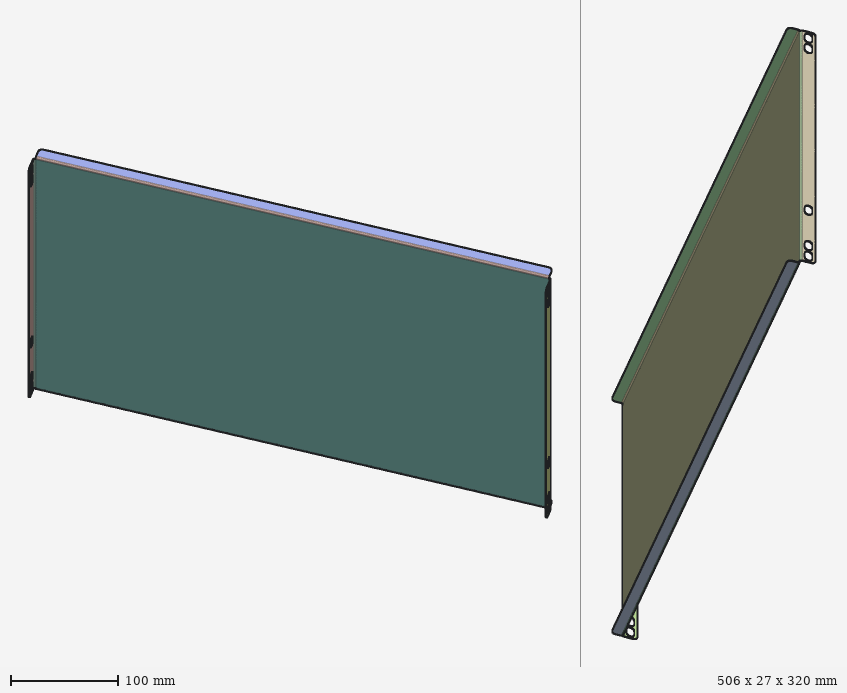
import cadquery as cq

width = 506.0
depth = 27.0
height = 320.0

sheet = 1.0
inner_bend_radius = 1.25
outer_bend_radius = inner_bend_radius + sheet

back_flange_depth = 12.0
side_flange_reach = depth - back_flange_depth
flat_width = width - 2 * outer_bend_radius
flat_height = height - 2 * outer_bend_radius
back_corner_radius = 4.0
side_corner_radius = 4.0

slot_width = 7.5
slot_length = 12.0
slot_edge_distance = 7.0
slot_end_distance = 10.5
slot_pitch = 14.0
extra_slot_height = 73.5
outer_slot_z = height / 2 - slot_end_distance
inner_slot_z = outer_slot_z - slot_pitch
slot_heights = [
    outer_slot_z,
    inner_slot_z,
    extra_slot_height - height / 2,
    -inner_slot_z,
    -outer_slot_z,
]


def bent_flange(plane, flat_half, reach, length):
    """Bend and straight flange in a plane whose local x is outward and local y is the bend direction.

    Local y = 0 is the outer face of the sheet.
    """
    center = (flat_half, outer_bend_radius)
    outside = flat_half + outer_bend_radius
    inside = outside - sheet
    diagonal = 0.5 ** 0.5
    outer_middle = (
        center[0] + outer_bend_radius * diagonal,
        center[1] - outer_bend_radius * diagonal,
    )
    inner_middle = (
        center[0] + inner_bend_radius * diagonal,
        center[1] - inner_bend_radius * diagonal,
    )
    return (
        cq.Workplane(plane)
        .moveTo(flat_half, 0)
        .threePointArc(outer_middle, (outside, outer_bend_radius))
        .lineTo(outside, reach)
        .lineTo(inside, reach)
        .lineTo(inside, outer_bend_radius)
        .threePointArc(inner_middle, (flat_half, sheet))
        .close()
        .extrude(length / 2, both=True)
    )


def back_flange():
    """Top flange, bent backwards from the panel, with rounded free corners."""
    plane = cq.Plane(origin=(0, 0, 0), xDir=(0, 0, 1), normal=(-1, 0, 0))
    flange = bent_flange(plane, flat_height / 2, back_flange_depth, flat_width)
    return flange.faces(">Y").edges("|Z").fillet(back_corner_radius)


def side_flange():
    """Flange on the +X side, bent forwards, with rounded free corners."""
    plane = cq.Plane(origin=(0, sheet, 0), xDir=(1, 0, 0), normal=(0, 0, -1))
    flange = bent_flange(plane, flat_width / 2, side_flange_reach + sheet, flat_height)
    return flange.faces("<Y").edges("|X").fillet(side_corner_radius)


def slot_cutters():
    """Upright slots running through both side flanges."""
    slot_y = slot_edge_distance - side_flange_reach
    return (
        cq.Workplane("YZ")
        .pushPoints([(slot_y, z) for z in slot_heights])
        .slot2D(slot_length, slot_width, 90)
        .extrude(width, both=True)
    )


panel = cq.Workplane("XY").box(flat_width, sheet, flat_height).translate((0, sheet / 2, 0))
top_flange = back_flange()
right_flange = side_flange()

result = (
    panel
    .union(top_flange)
    .union(top_flange.mirror("XY"))
    .union(right_flange)
    .union(right_flange.mirror("YZ"))
    .cut(slot_cutters())
)